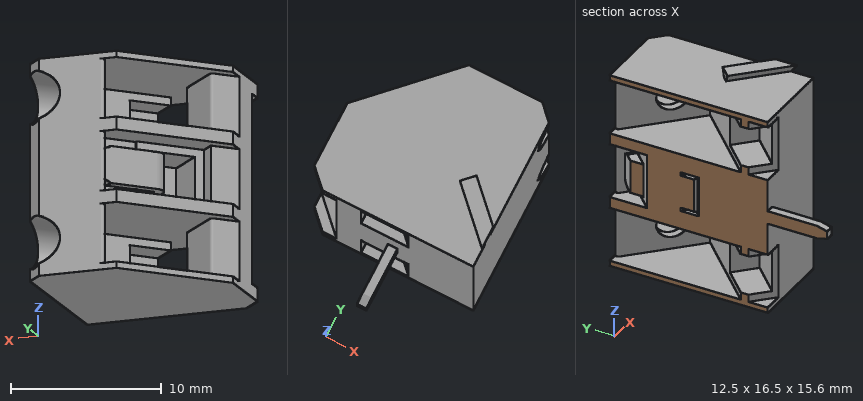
import cadquery as cq
import math


width = 12.5
depth = 12.0
pitch = 5.0
height = 3 * pitch
entry_cut = 6.0
screw_cut = 1.02
foot_cut = 1.27
foot_recess_cut = 2.31
foot_recess_margin = 0.95

pocket_width = 4.11
lip_in = 0.85
pocket_low = 1.2
pocket_high = 8.95
pocket_floor = 7.2
lip_radius = 0.2
slot_size = 2.99
clamp_slot_floor = 9.24
underside_opening_x = 4.14

screw_in = 4.62
screw_diameter = 2.3
screw_wall = 0.65
driver_diameter = 3.6

shelf_in = 2.0
shelf_top = 6.1
back_in = 2.18
contact_slot_top = 4.85
contact_slot_floor = 4.95
strip_width = 2.55
strip_thickness = 0.71
strip_bend_radius = 0.8
strip_tip = 8.85
strip_tip_cut_length = 0.55
strip_tip_cut_width = 0.25

pin_x = 6.5
pin_thickness = 0.71
pin_width = 1.02
pin_tip_width = 0.61
overall_depth = 16.5
pin_length = overall_depth - depth
pin_taper = 0.8

rail_in = 7.4
rail_low = 5.5
rail_width = 1.15
overall_height = 15.6
rail_height = overall_height - height
rail_undercut = 0.3

entry_corner_y = depth - entry_cut
reach = 2 * width
middle_z = height / 2
outer_zs = (middle_z - pitch, middle_z + pitch)


def entry_plane(z):
    """Plane with local x going in from the entry face and local y going up along it."""
    return cq.Plane(origin=(0, entry_corner_y, z), xDir=(1, -1, 0), normal=(0, 0, 1))


def entry_point(inward, up, z):
    return entry_plane(z).toWorldCoords((inward, up, 0))


def entry_box(in_start, in_end, up_start, up_end, z, size_z):
    """Box centred on z, aligned with the entry face."""
    return (
        cq.Workplane(entry_plane(z - size_z / 2))
        .moveTo(in_start, up_start)
        .lineTo(in_end, up_start)
        .lineTo(in_end, up_end)
        .lineTo(in_start, up_end)
        .close()
        .extrude(size_z)
    )


def make_housing():
    outline = [
        (foot_cut, 0),
        (width, 0),
        (width, depth - screw_cut),
        (width - screw_cut, depth),
        (entry_cut, depth),
        (0, entry_corner_y),
        (0, foot_cut),
    ]
    foot_recess = (
        cq.Workplane("XY", origin=(0, 0, foot_recess_margin))
        .polyline([(0, 0), (foot_recess_cut, 0), (0, foot_recess_cut)])
        .close()
        .extrude(height - 2 * foot_recess_margin)
    )
    return cq.Workplane("XY").polyline(outline).close().extrude(height).cut(foot_recess)


def round_edge(body, point, radius):
    return body.edges(cq.selectors.NearestToPointSelector(point.toTuple())).fillet(radius)


def cut_station(body, z, floor_in):
    """Set the entry face back, sink the pocket and round its upper lip."""
    body = body.cut(entry_box(-reach, lip_in, -reach, pocket_high, z, pocket_width))
    body = body.cut(entry_box(0, floor_in, pocket_low, pocket_high, z, pocket_width))
    lip_at_top = pocket_high - entry_cut * math.sqrt(2)
    return round_edge(body, entry_point(lip_at_top, pocket_high, z), lip_radius)


def cut_clamp(body, z):
    """Wire side of an outer station: lower lip, underside opening and clamp slot."""
    body = round_edge(body, entry_point(lip_in, pocket_low, z), lip_radius)
    opening_right_x = entry_corner_y + math.sqrt(2) * pocket_low
    opening = (
        cq.Workplane("XY", origin=(0, 0, z - pocket_width / 2))
        .moveTo(underside_opening_x, 0)
        .lineTo(opening_right_x, 0)
        .lineTo(underside_opening_x, opening_right_x - underside_opening_x)
        .close()
        .extrude(pocket_width)
    )
    slot = entry_box(0, clamp_slot_floor, pocket_low, pocket_low + slot_size, z, slot_size)
    return body.cut(opening).cut(slot)


def cut_screw_passage(body, z):
    """Screw hole in the upper pocket wall, widening to a driver bore out to the cut corner."""

    def bore(diameter, up):
        start = cq.Plane(origin=entry_point(screw_in, up, z).toTuple(), xDir=(0, 0, 1), normal=(1, 1, 0))
        return cq.Workplane(start).circle(diameter / 2).extrude(reach)

    screw_hole = bore(screw_diameter, pocket_high)
    driver_bore = bore(driver_diameter, pocket_high + screw_wall)
    return body.cut(screw_hole).cut(driver_bore)


def cut_contact_seat(body):
    """Clearance above the shelf and the slot that takes the contact strip."""
    body = body.cut(entry_box(lip_in, back_in, shelf_top, pocket_high, middle_z, pocket_width))
    slot_bottom = contact_slot_top - slot_size
    return body.cut(
        entry_box(lip_in, contact_slot_floor, slot_bottom, contact_slot_top, middle_z, slot_size)
    )


def make_contact_strip():
    """Strip that leaves the slot and bends over to lie along the shelf."""
    face_in = shelf_in - strip_thickness
    face_up = contact_slot_top - strip_thickness
    half_width = strip_width / 2
    tip_half_width = half_width - strip_tip_cut_width
    tip_cut_start = strip_tip - strip_tip_cut_length
    face_origin = entry_point(face_in, 0, middle_z).toTuple()
    tongue = (
        cq.Workplane(cq.Plane(origin=face_origin, xDir=(1, 1, 0), normal=(1, -1, 0)))
        .moveTo(face_up, -half_width)
        .lineTo(tip_cut_start, -half_width)
        .lineTo(strip_tip, -tip_half_width)
        .lineTo(strip_tip, tip_half_width)
        .lineTo(tip_cut_start, half_width)
        .lineTo(face_up, half_width)
        .close()
        .extrude(strip_thickness)
    )
    leg = entry_box(face_in, contact_slot_floor, face_up, contact_slot_top, middle_z, strip_width)
    return round_edge(leg.union(tongue), entry_point(face_in, face_up, middle_z), strip_bend_radius)


def make_solder_pin():
    """Square-ended pin under the housing, its tip tapered in Z only."""
    half_width = pin_width / 2
    half_tip = pin_tip_width / 2
    taper_y = pin_taper - pin_length
    outline = [
        (0, -half_width),
        (taper_y, -half_width),
        (-pin_length, -half_tip),
        (-pin_length, half_tip),
        (taper_y, half_width),
        (0, half_width),
    ]
    side = cq.Workplane("YZ", origin=(pin_x, 0, middle_z))
    return side.polyline(outline).close().extrude(pin_thickness / 2, both=True)


def make_rail():
    """Dovetail running out to the +X side, wider at its top than at its root."""
    start_point = entry_point(rail_in, rail_low, height).toTuple()
    start = cq.Plane(origin=start_point, xDir=(1, 1, 0), normal=(1, -1, 0))
    section = [
        (rail_undercut, 0),
        (rail_width - rail_undercut, 0),
        (rail_width, rail_height),
        (0, rail_height),
    ]
    rail = cq.Workplane(start).polyline(section).close().extrude(reach)
    housing_side = cq.Workplane("XY").box(width, depth, overall_height, centered=False)
    return rail.intersect(housing_side)


result = make_housing()
for outer_z in outer_zs:
    result = cut_station(result, outer_z, pocket_floor)
    result = cut_clamp(result, outer_z)
    result = cut_screw_passage(result, outer_z)
result = cut_station(result, middle_z, shelf_in)
result = cut_contact_seat(result)
result = result.union(make_contact_strip()).union(make_solder_pin()).union(make_rail())